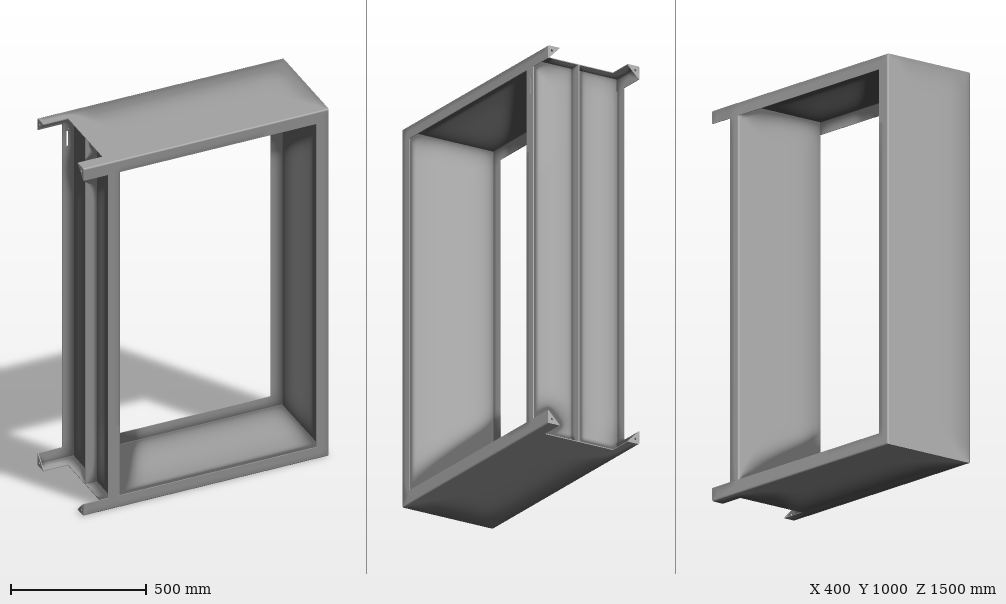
import cadquery as cq

WIDTH = 400.0
DEPTH = 1000.0
HEIGHT = 1500.0

SHEET = 3.0
BEND = 6.0
FLANGE = 51.0

LEG_LENGTH = 100.0
UPRIGHT_DEPTH = 50.0
RIB_THICKNESS = 5.0

SLOT_WIDTH = 8.0
SLOT_LENGTH = 66.0
SLOT_FROM_FRONT_EDGE = 20.0
SLOT_TOP_DROP = 85.0
PIN_HOLE_DIAMETER = 5.0
PIN_HOLE_FROM_FRONT_EDGE = 27.0
PIN_HOLE_DROP = 80.0

CAP_HOLE_DIAMETER = 9.0
CAP_HOLE_OFFSET = 18.0

FRONT_Y = -DEPTH / 2
BACK_Y = DEPTH / 2
UPRIGHT_FRONT_Y = FRONT_Y + LEG_LENGTH
UPRIGHT_BACK_Y = UPRIGHT_FRONT_Y + UPRIGHT_DEPTH
INNER_WIDTH = WIDTH - 2 * SHEET
INNER_HEIGHT = HEIGHT - 2 * SHEET


def channel(flange_depth, length):
    """U-channel along Z from z = 0: web on the y = 0 plane, flanges reaching toward -Y."""
    outer = (
        cq.Workplane("XY")
        .box(WIDTH, flange_depth, length, centered=(True, False, False))
        .translate((0, -flange_depth, 0))
        .edges("|Z and >Y")
        .fillet(BEND)
    )
    inner = (
        cq.Workplane("XY")
        .box(INNER_WIDTH, flange_depth, length, centered=(True, False, False))
        .translate((0, -flange_depth - SHEET, 0))
        .edges("|Z and >Y")
        .fillet(BEND - SHEET)
    )
    return outer.cut(inner)


def side_prism(points):
    """Prism over the whole width from an outline of (y, z) points."""
    return cq.Workplane("YZ").polyline(points).close().extrude(WIDTH / 2, both=True)


def make_back_sheet():
    """Full-height channel, mitred at 45 degrees at both ends."""
    mitred_outline = [
        (BACK_Y, 0),
        (BACK_Y, HEIGHT),
        (BACK_Y - FLANGE, HEIGHT - FLANGE),
        (BACK_Y - FLANGE, FLANGE),
    ]
    return channel(FLANGE, HEIGHT).translate((0, BACK_Y, 0)).intersect(side_prism(mitred_outline))


def make_bottom_sheet():
    """Floor channel, mitred at the back and notched at the front to leave two legs."""
    mitred_outline = [
        (FRONT_Y, 0),
        (BACK_Y, 0),
        (BACK_Y - FLANGE, FLANGE),
        (FRONT_Y, FLANGE),
    ]
    sheet = channel(FLANGE, DEPTH).rotate((0, 0, 0), (1, 0, 0), -90)
    sheet = sheet.translate((0, FRONT_Y, 0)).intersect(side_prism(mitred_outline))
    notch = (
        cq.Workplane("XY")
        .box(WIDTH - 2 * FLANGE, LEG_LENGTH, FLANGE, centered=(True, False, False))
        .translate((0, FRONT_Y, 0))
    )
    return sheet.cut(notch)


def mirror_to_top(body):
    """Copy of a bottom body, mirrored about half height."""
    return body.mirror("XY", (0, 0, HEIGHT / 2))


def make_upright_channel():
    """Front channel standing between floor and roof, its flanges butting against the legs' flanges."""
    upright = channel(UPRIGHT_DEPTH, INNER_HEIGHT).translate((0, UPRIGHT_BACK_Y, SHEET))
    for side in (-1, 1):
        for end_z in (FLANGE / 2, HEIGHT - FLANGE / 2):
            clearance = cq.Workplane("XY").box(2 * BEND, DEPTH, FLANGE)
            upright = upright.cut(clearance.translate((side * WIDTH / 2, 0, end_z)))
    return upright.cut(lock_cutouts())


def lock_cutouts():
    """Slot and pin hole through the -X flange only."""
    flange_face = cq.Workplane("YZ", origin=(-WIDTH / 2, 0, 0))
    slot = (
        flange_face
        .center(UPRIGHT_FRONT_Y + SLOT_FROM_FRONT_EDGE, HEIGHT - SLOT_TOP_DROP - SLOT_LENGTH / 2)
        .rect(SLOT_WIDTH, SLOT_LENGTH)
        .extrude(SHEET)
    )
    pin_hole = (
        flange_face
        .center(UPRIGHT_FRONT_Y + PIN_HOLE_FROM_FRONT_EDGE, HEIGHT - PIN_HOLE_DROP)
        .circle(PIN_HOLE_DIAMETER / 2)
        .extrude(SHEET)
    )
    return slot.union(pin_hole)


def make_rib():
    """Plate along the middle of the upright channel."""
    return (
        cq.Workplane("XY")
        .box(RIB_THICKNESS, UPRIGHT_DEPTH - SHEET, INNER_HEIGHT, centered=(True, False, False))
        .translate((0, UPRIGHT_FRONT_Y, SHEET))
    )


def make_cap():
    """Triangular plate with a hole, in the front end of the -X bottom leg."""
    return (
        cq.Workplane("XZ", origin=(-WIDTH / 2, FRONT_Y, 0))
        .moveTo(BEND, SHEET)
        .lineTo(FLANGE, SHEET)
        .lineTo(SHEET, FLANGE)
        .lineTo(SHEET, BEND)
        .radiusArc((BEND, SHEET), -(BEND - SHEET))
        .close()
        .moveTo(CAP_HOLE_OFFSET, CAP_HOLE_OFFSET)
        .circle(CAP_HOLE_DIAMETER / 2)
        .extrude(-SHEET)
    )


back_sheet = make_back_sheet()
bottom_sheet = make_bottom_sheet()
top_sheet = mirror_to_top(bottom_sheet)
upright_channel = make_upright_channel()
rib = make_rib()

left_cap = make_cap()
caps = []
for bottom_cap in (left_cap, left_cap.mirror("YZ")):
    caps.append(bottom_cap.val())
    caps.append(mirror_to_top(bottom_cap).val())

result = cq.Compound.makeCompound(
    [back_sheet.val(), bottom_sheet.val(), top_sheet.val(), upright_channel.val(), rib.val(), *caps]
)